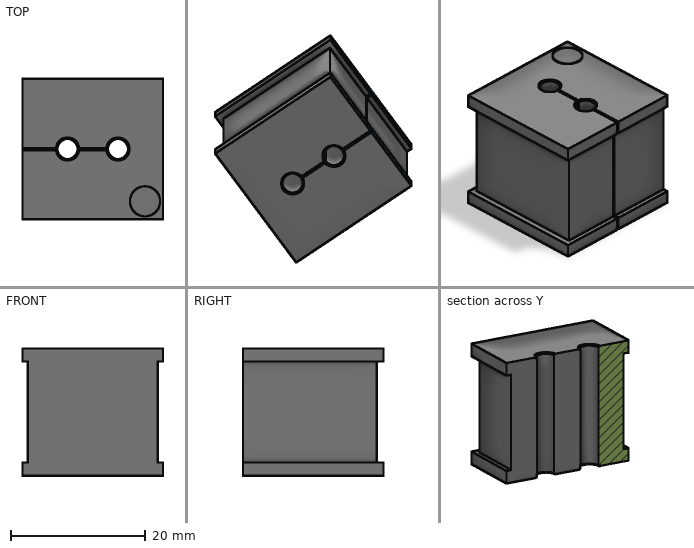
import cadquery as cq

side = 21.0
height = 19.0
flange_thickness = 2.0
side_recess = 0.8
back_recess = 1.0

hole_diameter = 3.0
hole_offset = 3.75
rim_chamfer = 0.2
slit_width = 0.3

mark_diameter = 4.5
mark_x = 7.8
mark_y = -7.8
mark_depth = 0.1


def make_spool():
    """Block whose waist is recessed on three sides, leaving two flanges."""
    block = cq.Workplane("XY").box(side, side, height)
    waist_height = height - 2 * flange_thickness
    waist_length = side - back_recess
    waist = (
        cq.Workplane("XY")
        .box(side - 2 * side_recess, waist_length, waist_height)
        .translate((0, -back_recess / 2, 0))
    )
    band = cq.Workplane("XY").box(side, side, waist_height)
    return block.cut(band.cut(waist))


def cut_holes(body):
    """Two through holes, chamfered at both ends."""
    radius = hole_diameter / 2
    rim_radius = radius + rim_chamfer
    half_height = height / 2
    profile = [
        (0, -half_height),
        (rim_radius, -half_height),
        (radius, -half_height + rim_chamfer),
        (radius, half_height - rim_chamfer),
        (rim_radius, half_height),
        (0, half_height),
    ]
    hole = cq.Workplane("XZ").polyline(profile).close().revolve(360, (0, 0), (0, 1))
    for x in (-hole_offset, hole_offset):
        body = body.cut(hole.translate((x, 0, 0)))
    return body


def cut_slit(body):
    """Full-height slit from the -X face to the far hole."""
    slit_length = side / 2 + hole_offset
    slit = (
        cq.Workplane("XY")
        .box(slit_length, slit_width, height)
        .translate(((slit_length - side) / 2, 0, 0))
    )
    return body.cut(slit)


def cut_mark(body):
    """Round recess near the +X, -Y corner of the top face."""
    recess = (
        cq.Workplane("XY", origin=(mark_x, mark_y, height / 2 - mark_depth))
        .circle(mark_diameter / 2)
        .extrude(mark_depth)
    )
    return body.cut(recess)


result = cut_mark(cut_slit(cut_holes(make_spool())))